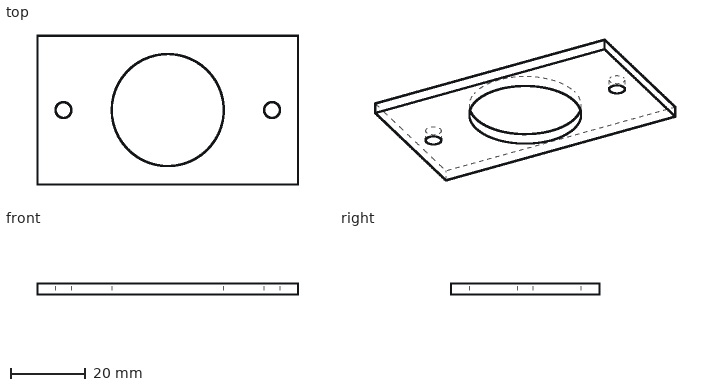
import cadquery as cq

length = 70.0
width = 40.0
thickness = 3.0

opening_diameter = 30.0
screw_hole_diameter = 4.2
screw_hole_spacing = 56.0

plate = cq.Workplane("XY").box(length, width, thickness)

plate = plate.faces(">Z").workplane().hole(opening_diameter)

screw_hole_centers = [(-screw_hole_spacing / 2, 0), (screw_hole_spacing / 2, 0)]
result = (
    plate.faces(">Z")
    .workplane(origin=(0, 0, 0))
    .pushPoints(screw_hole_centers)
    .hole(screw_hole_diameter)
)